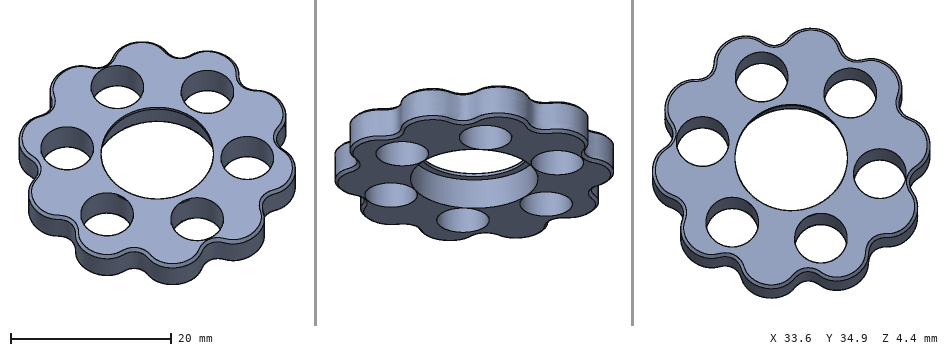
import cadquery as cq
import math

lobe_count = 10
pin_circle_radius = 18.0
pin_radius = 1.75
eccentricity = 1.2
thickness = 4.4
edge_chamfer = 0.4

lip_diameter = 14.03
lip_thickness = 0.42
bore_diameter = 15.9
roller_hole_count = 6
roller_hole_diameter = 6.55
roller_hole_circle_radius = 11.27

points_per_lobe = 16
quarter_turn = 90


def profile_point(angle):
    """Point of the cycloid: the pin-centre curve moved inward by the pin radius."""
    pin_count = lobe_count + 1
    fast_angle = pin_count * angle
    centre_x = pin_circle_radius * math.cos(angle) + eccentricity * math.cos(fast_angle)
    centre_y = pin_circle_radius * math.sin(angle) + eccentricity * math.sin(fast_angle)
    tangent_x = -pin_circle_radius * math.sin(angle) - pin_count * eccentricity * math.sin(fast_angle)
    tangent_y = pin_circle_radius * math.cos(angle) + pin_count * eccentricity * math.cos(fast_angle)
    length = math.hypot(tangent_x, tangent_y)
    x = centre_x - pin_radius * tangent_y / length
    y = centre_y + pin_radius * tangent_x / length
    return x, y


def lobed_disc():
    """Lobed plate with both outer rims chamfered and a lobe tip on the Y axis."""
    point_count = lobe_count * points_per_lobe
    step = 2 * math.pi / point_count
    outline = [profile_point(i * step) for i in range(point_count)]
    disc = cq.Workplane("XY").spline(outline, periodic=True).close().extrude(thickness)
    disc = disc.faces("<Z or >Z").edges().chamfer(edge_chamfer)
    return disc.rotate((0, 0, 0), (0, 0, 1), quarter_turn)


def cut_bearing_bore(disc):
    """Bearing seat open at the bottom, stopped by a thin smaller lip at the top."""
    disc = disc.faces(">Z").workplane(origin=(0, 0, 0)).hole(lip_diameter)
    seat = cq.Workplane("XY").circle(bore_diameter / 2).extrude(thickness - lip_thickness)
    return disc.cut(seat)


def cut_roller_holes(disc):
    """Ring of through holes around the bore, the first one on the X axis."""
    return (
        disc.faces(">Z")
        .workplane(origin=(0, 0, 0))
        .polarArray(roller_hole_circle_radius, 0, 360, roller_hole_count)
        .hole(roller_hole_diameter)
    )


result = cut_roller_holes(cut_bearing_bore(lobed_disc()))